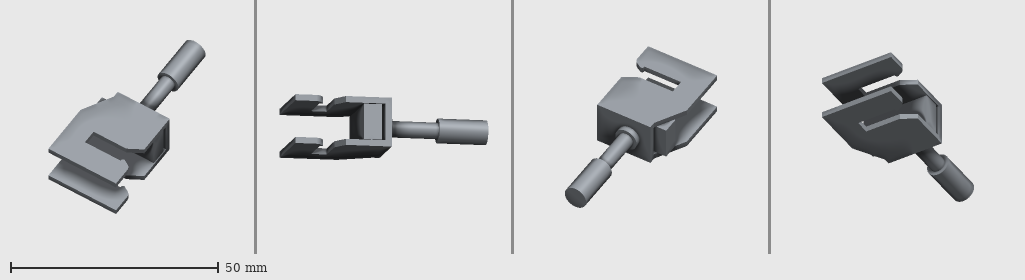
import cadquery as cq
import math


body_width = 19.5
body_depth = 23.7
body_height = 12.0
sheet = 1.5
left_to_screw = 10.5

left_x = -left_to_screw
right_x = left_x + body_width
front_y = -body_depth
inner_height = body_height - 2 * sheet

wall_inset = 4.5
wall_left_x = left_x + wall_inset
corner_straight = 1.75
corner_angle = math.radians(60)

spine_width = 6.3
front_jaw_width = 6.5
slot_left_x = left_x + spine_width
slot_front_y = front_y + front_jaw_width
slot_width = 3.8
slot_back_y = slot_front_y + slot_width
slope_angle = math.radians(30)
flare_length = 3.75

nose_length = 2.9
nose_left_x = right_x - nose_length
nose_corner_height = 1.1
nose_radius = 0.5
jaw_tip_radius = 1.75

block_width = 17.8
block_depth = 4.35
block_height = 8.7
block_inset = 1.5
block_wall_gap = 0.9
block_left_x = left_x + block_inset
block_back_y = -sheet - block_wall_gap

shank_diameter = 4.0
collar_diameter = 6.0
collar_length = 1.5
handle_diameter = 6.0
handle_length = 12.0
screw_end_y = 25.0


def jaw_plate(bottom_z):
    """One C-shaped jaw plate whose underside lies at bottom_z."""
    corner_end_y = -corner_straight - wall_inset * math.tan(corner_angle)
    flare_end_y = slot_back_y + flare_length * math.tan(slope_angle)
    nose_corner_y = slot_front_y + nose_corner_height
    jaw_tip_y = nose_corner_y - nose_length * math.tan(slope_angle)
    outline = [
        (left_x, front_y),
        (right_x, front_y),
        (right_x, jaw_tip_y),
        (nose_left_x, nose_corner_y),
        (nose_left_x, slot_front_y),
        (slot_left_x, slot_front_y),
        (slot_left_x, slot_back_y),
        (right_x - flare_length, slot_back_y),
        (right_x, flare_end_y),
        (right_x, 0),
        (wall_left_x, 0),
        (wall_left_x, -corner_straight),
        (left_x, corner_end_y),
    ]
    plate = cq.Workplane("XY", origin=(0, 0, bottom_z)).polyline(outline).close().extrude(sheet)
    middle_z = bottom_z + sheet / 2
    nose_edge = cq.selectors.NearestToPointSelector((nose_left_x, nose_corner_y, middle_z))
    plate = plate.edges(nose_edge).fillet(nose_radius)
    tip_edge = cq.selectors.NearestToPointSelector((right_x, jaw_tip_y, middle_z))
    return plate.edges(tip_edge).fillet(jaw_tip_radius)


def back_wall():
    """Wall joining the two jaw plates along their back edges."""
    return (
        cq.Workplane("XY")
        .box(right_x - wall_left_x, sheet, body_height, centered=(False, False, True))
        .translate((wall_left_x, -sheet, 0))
    )


def pressure_block():
    """Block between the plates, clear of both and of the back wall."""
    return (
        cq.Workplane("XY")
        .box(block_width, block_depth, block_height, centered=(False, False, True))
        .translate((block_left_x, block_back_y - block_depth, 0))
    )


def cylinder_along_y(diameter, start_y, end_y):
    """Solid cylinder on the screw axis from start_y to end_y."""
    base = cq.Workplane("XZ", origin=(0, start_y, 0)).circle(diameter / 2)
    return base.extrude(start_y - end_y)


def screw():
    """Shank from the block to the handle, with a collar against the wall."""
    handle_start_y = screw_end_y - handle_length
    shank = cylinder_along_y(shank_diameter, block_back_y, handle_start_y)
    collar = cylinder_along_y(collar_diameter, 0, collar_length)
    handle = cylinder_along_y(handle_diameter, handle_start_y, screw_end_y)
    return shank.union(collar).union(handle)


result = back_wall().union(screw()).union(pressure_block())
for plate_bottom_z in (-body_height / 2, inner_height / 2):
    result = result.union(jaw_plate(plate_bottom_z))